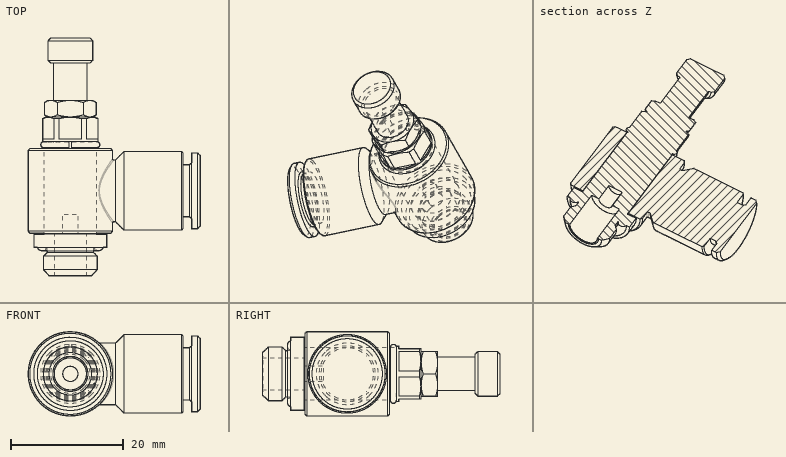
import cadquery as cq
import math


width_x = 30.6
length_y = 42.25

barrel_d = 15.0
barrel_length = 15.1
barrel_top = barrel_length / 2
barrel_bottom = -barrel_top
barrel_chamfer_axial = 0.4
barrel_chamfer_radial = 0.3

port_neck_d = 11.0
port_d = 14.0
port_cone_start = 8.03
port_cone_end = port_cone_start + (port_d - port_neck_d) / 2
port_end = 20.02
port_chamfer = 0.25
port_root_fillet = 0.2

sleeve_d = 9.3
sleeve_cone_start = 21.15
sleeve_cone_d = 9.95
flange_d = 13.5
flange_start = 21.55
flange_end = width_x - barrel_d / 2
flange_chamfer = 0.5

core_d = 9.3
swivel_play = 0.13

clip_outer_d = 10.5
clip_wire_d = 1.05
clip_y = barrel_top + swivel_play + clip_wire_d / 2
clip_slit = 0.5

hex_chamfer_angle = math.radians(30)
head_d = 9.85
head_across_flats = 9.0
head_face_d = 8.75
head_bottom = clip_y + clip_wire_d / 2
head_flat_bottom = 9.15
head_top = 13.15

nut_across_flats = 8.0
nut_height = 2.9
nut_top = head_top + nut_height

stem_d = 6.0
cap_d = 8.0
cap_length = 4.48
cap_chamfer = 0.5
cap_top = 27.15
cap_bottom = cap_top - cap_length

collar_d = 13.0
collar_top = barrel_bottom - swivel_play
collar_length = 2.35
collar_bottom = collar_top - collar_length
seal_outer_d = 11.83
seal_lowest = -10.65

thread_d = 9.6
thread_neck_d = 8.3
thread_runout_top = -10.95
thread_runout_bottom = thread_runout_top - (thread_d - thread_neck_d) / 2
thread_end = cap_top - length_y
thread_end_d = 7.55
thread_chamfer_length = 1.1

bore_d = 5.7
bore_rim_d = 6.25
bore_rim_depth = 0.1
bore_depth = 7.5
orifice_d = 2.7
orifice_depth = 3.4


def revolved_about_y(profile):
    """Turn a list of (radius, y) points around the Y axis."""
    return cq.Workplane("XY").polyline(profile).close().revolve(360, (0, 0), (0, 1))


def revolved_about_x(profile):
    """Turn a list of (x, radius) points around the X axis."""
    return cq.Workplane("XY").polyline(profile).close().revolve(360, (0, 0), (1, 0))


def cylinder_y(diameter, bottom, top):
    return revolved_about_y([(0, bottom), (diameter / 2, bottom), (diameter / 2, top), (0, top)])


def hexagon_y(across_flats, bottom, top):
    """Hexagonal prism along Y, with flats facing +Z and -Z."""
    across_corners = across_flats / math.cos(math.pi / 6)
    return cq.Workplane("XZ", origin=(0, top, 0)).polygon(6, across_corners).extrude(top - bottom)


def torus_y(outer_d, section_d, y):
    """Ring of round section around the Y axis, with its seam on the inside."""
    mean_radius = (outer_d - section_d) / 2
    section = cq.Workplane("XY").center(-mean_radius, y).circle(section_d / 2)
    return section.revolve(360, (mean_radius, 0), (mean_radius, 1))


def make_port():
    port_r = port_d / 2
    return revolved_about_x([
        (port_cone_start, 0),
        (port_cone_start, port_neck_d / 2),
        (port_cone_end, port_r),
        (port_end - port_chamfer, port_r),
        (port_end, port_r - port_chamfer),
        (port_end, sleeve_d / 2),
        (sleeve_cone_start, sleeve_d / 2),
        (flange_start, sleeve_cone_d / 2),
        (flange_start, flange_d / 2),
        (flange_end - flange_chamfer, flange_d / 2),
        (flange_end, flange_d / 2 - flange_chamfer),
        (flange_end, 0),
    ])


def make_barrel():
    barrel_r = barrel_d / 2
    face_r = barrel_r - barrel_chamfer_radial
    return revolved_about_y([
        (0, barrel_bottom),
        (face_r, barrel_bottom),
        (barrel_r, barrel_bottom + barrel_chamfer_axial),
        (barrel_r, barrel_top - barrel_chamfer_axial),
        (face_r, barrel_top),
        (0, barrel_top),
    ])


def make_elbow():
    """Barrel and port in one piece, with a through bore for the spindle core."""
    neck = cq.Workplane("YZ").circle(port_neck_d / 2).extrude(port_cone_start)
    barrel = make_barrel().union(neck)
    barrel = barrel.edges("not(%CIRCLE or %LINE)").fillet(port_root_fillet)
    core_bore = cylinder_y(core_d, barrel_bottom, barrel_top)
    return barrel.union(make_port()).cut(core_bore)


def make_clip():
    """Round wire ring with its slit at +Z, where the seam of the ring falls too."""
    ring = torus_y(clip_outer_d, clip_wire_d, clip_y).rotate((0, 0, 0), (0, 1, 0), 90)
    slit = cq.Workplane("XY", origin=(0, clip_y, 0)).rect(clip_slit, clip_wire_d).extrude(clip_outer_d)
    return ring.cut(slit)


def make_head():
    """Round bar with six flats, chamfered at the top and left round at the bottom."""
    chamfer_length = (head_d - head_face_d) / 2 * math.tan(hex_chamfer_angle)
    bar = revolved_about_y([
        (0, head_flat_bottom),
        (head_d / 2, head_flat_bottom),
        (head_d / 2, head_top - chamfer_length),
        (head_face_d / 2, head_top),
        (0, head_top),
    ])
    flats = bar.intersect(hexagon_y(head_across_flats, head_flat_bottom, head_top))
    return flats.union(cylinder_y(head_d, head_bottom, head_flat_bottom))


def make_nut():
    """Hexagon nut with conical chamfers that touch the flats at both faces."""
    face_r = nut_across_flats / 2
    corner_r = face_r / math.cos(math.pi / 6)
    chamfer_length = (corner_r - face_r) * math.tan(hex_chamfer_angle)
    cone_limit = revolved_about_y([
        (0, head_top),
        (face_r, head_top),
        (corner_r, head_top + chamfer_length),
        (corner_r, nut_top - chamfer_length),
        (face_r, nut_top),
        (0, nut_top),
    ])
    return hexagon_y(nut_across_flats, head_top, nut_top).intersect(cone_limit)


def make_stem_and_cap():
    cap_r = cap_d / 2
    cap = revolved_about_y([
        (0, cap_bottom),
        (cap_r - cap_chamfer, cap_bottom),
        (cap_r, cap_bottom + cap_chamfer),
        (cap_r, cap_top - cap_chamfer),
        (cap_r - cap_chamfer, cap_top),
        (0, cap_top),
    ])
    return cap.union(cylinder_y(stem_d, nut_top, cap_bottom))


def make_collar_and_seal():
    seal_section_d = (seal_outer_d - thread_neck_d) / 2
    collar = cylinder_y(collar_d, collar_bottom, collar_top)
    return collar.union(torus_y(seal_outer_d, seal_section_d, seal_lowest + seal_section_d / 2))


def make_thread():
    return revolved_about_y([
        (0, thread_end),
        (thread_end_d / 2, thread_end),
        (thread_d / 2, thread_end + thread_chamfer_length),
        (thread_d / 2, thread_runout_bottom),
        (thread_neck_d / 2, thread_runout_top),
        (thread_neck_d / 2, collar_bottom),
        (0, collar_bottom),
    ])


def make_passage():
    """Bore with a shallow step at its rim and a smaller orifice at its end."""
    rim_end = thread_end + bore_rim_depth
    bore_end = thread_end + bore_depth
    passage_end = bore_end + orifice_depth
    return revolved_about_y([
        (0, thread_end),
        (bore_rim_d / 2, thread_end),
        (bore_rim_d / 2, rim_end),
        (bore_d / 2, rim_end),
        (bore_d / 2, bore_end),
        (orifice_d / 2, bore_end),
        (orifice_d / 2, passage_end),
        (0, passage_end),
    ])


def make_spindle():
    core = cylinder_y(core_d, collar_top, head_bottom)
    spindle = core.union(make_collar_and_seal()).union(make_thread())
    spindle = spindle.union(make_clip()).union(make_head())
    spindle = spindle.union(make_nut()).union(make_stem_and_cap())
    return spindle.cut(make_passage())


elbow = make_elbow()
spindle = make_spindle()

result = cq.Compound.makeCompound([elbow.val(), spindle.val()])